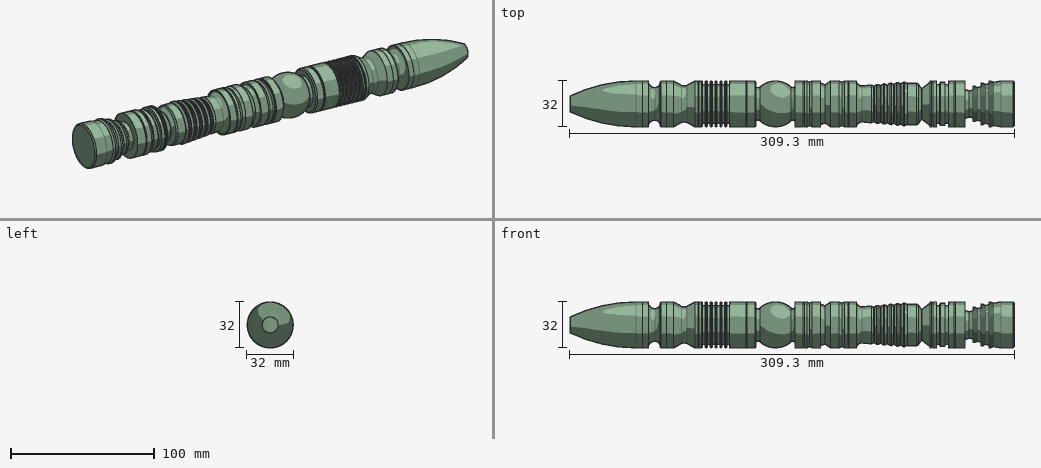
import cadquery as cq
import math


LENGTH = 309.3
RADIUS = 16.0
NECK_RADIUS = 11.5
CHAMFER = 1.0

NOSE_END = 50.5
COLLAR_END = 67.0
GRIP_END = 111.0
SLEEVE_END = 132.5
BALL_END = 153.7
BARREL_END = 193.3
FLARE_END = 234.8
WAIST_END = 250.5
BAND_END = 267.3

EDGE_BREAK_LENGTH = 1.0
EDGE_BREAK_DEPTH = 0.3

HAIRLINE_WIDTH = 1.0
HAIRLINE_DEPTH = 0.5
HAIRLINE_FLOOR = RADIUS - HAIRLINE_DEPTH


def outline(start_x):
    """Begin a half outline on the axis."""
    return cq.Workplane("XZ").moveTo(start_x, 0)


def line_through(half_outline, points):
    """Continue a half outline with straight lines through the points."""
    for x, radius in points:
        half_outline = half_outline.lineTo(x, radius)
    return half_outline


def turn(half_outline, end_x):
    """Bring a half outline back to the axis and revolve it around X."""
    return half_outline.lineTo(end_x, 0).close().revolve(360, (0, 0), (1, 0))


def level_arc_middle(steep_end, level_end):
    """Point halfway along X on the arc that runs parallel to the axis at level_end."""
    span = level_end[0] - steep_end[0]
    rise = steep_end[1] - level_end[1]
    arc_radius = (span**2 + rise**2) / (2 * abs(rise))
    sag = arc_radius - math.sqrt(arc_radius**2 - (span / 2) ** 2)
    return level_end[0] - span / 2, level_end[1] + math.copysign(sag, rise)


def hairline(center_x):
    """Points of one hairline, from left to right."""
    left = center_x - HAIRLINE_WIDTH / 2
    right = center_x + HAIRLINE_WIDTH / 2
    return [(left, RADIUS), (left, HAIRLINE_FLOOR), (right, HAIRLINE_FLOOR), (right, RADIUS)]


def make_nose():
    """Blunt ogive that runs tangent into a short cylinder."""
    tip = (0, 5.5)
    shoulder = (45.8, RADIUS)
    half = outline(0).lineTo(*tip)
    half = half.threePointArc(level_arc_middle(tip, shoulder), shoulder)
    return turn(half.lineTo(NOSE_END, RADIUS), NOSE_END)


def make_collar():
    """Two full-radius rims with a round hollow between them."""
    left_lip = (54.5, 15.2)
    bottom = (59.0, 11.5)
    right_lip = (62.5, 14.0)
    half = line_through(outline(NOSE_END), [(NOSE_END, RADIUS), (left_lip[0], RADIUS), left_lip])
    half = half.threePointArc(level_arc_middle(left_lip, bottom), bottom)
    half = half.threePointArc(level_arc_middle(right_lip, bottom), right_lip)
    half = line_through(half, [
        (right_lip[0], RADIUS - CHAMFER),
        (right_lip[0] + CHAMFER, RADIUS),
        (COLLAR_END, RADIUS),
    ])
    return turn(half, COLLAR_END)


def make_grip():
    """Waist with straight flanks and a round bottom, followed by a row of chamfered ribs."""
    waist_half_width = 7.5
    waist_bottom = (79.5, 12.7)
    waist_arc_half_width = 2.0
    waist_arc_end_radius = 13.0
    hairline_x = 89.5
    groove_count = 6
    groove_pitch = 3.5
    groove_width = 2.0
    groove_floor = 13.5
    rib_chamfer = 0.5
    rib_edge_radius = RADIUS - rib_chamfer

    waist_arc_start = (waist_bottom[0] - waist_arc_half_width, waist_arc_end_radius)
    waist_arc_end = (waist_bottom[0] + waist_arc_half_width, waist_arc_end_radius)
    half = line_through(outline(COLLAR_END), [
        (COLLAR_END, RADIUS),
        (waist_bottom[0] - waist_half_width, RADIUS),
        waist_arc_start,
    ])
    half = half.threePointArc(waist_bottom, waist_arc_end)
    half = line_through(half, [(waist_bottom[0] + waist_half_width, RADIUS), *hairline(hairline_x)])

    for index in range(groove_count):
        right = GRIP_END - (groove_count - 1 - index) * groove_pitch
        left = right - groove_width
        half = line_through(half, [
            (left - rib_chamfer, RADIUS),
            (left, rib_edge_radius),
            (left, groove_floor),
            (right, groove_floor),
        ])
        if right < GRIP_END:
            half = line_through(half, [(right, rib_edge_radius), (right + rib_chamfer, RADIUS)])
    return turn(half, GRIP_END)


def make_sleeve():
    """Plain cylinder with one hairline and a neck towards the ball."""
    hairline_x = 122.8
    shoulder_x = 129.5
    half = line_through(outline(GRIP_END), [
        (GRIP_END, RADIUS),
        *hairline(hairline_x),
        (shoulder_x - CHAMFER, RADIUS),
        (shoulder_x, RADIUS - CHAMFER),
        (shoulder_x, NECK_RADIUS),
        (SLEEVE_END, NECK_RADIUS),
    ])
    return turn(half, SLEEVE_END)


def make_ball():
    """Ball of full radius, cut flat at both ends."""
    half_length = (BALL_END - SLEEVE_END) / 2
    flat_radius = math.sqrt(RADIUS**2 - half_length**2)
    half = outline(SLEEVE_END).lineTo(SLEEVE_END, flat_radius)
    half = half.threePointArc((SLEEVE_END + half_length, RADIUS), (BALL_END, flat_radius))
    return turn(half, BALL_END)


def make_barrel():
    """Necked cylinder with one hairline, and a saddle between two shallow vees."""
    shoulder_x = 156.5
    neck_fillet = 1.2
    hairline_x = 162.7
    vee_depth = 1.0
    vee_floor = RADIUS - vee_depth
    first_vee_x = 166.7
    first_vee_half_width = 2.0
    saddle_start = 174.5
    saddle_step_radius = 14.5
    saddle_bottom = (177.5, 13.3)
    saddle_end = 181.3
    second_vee_start = 187.0
    second_vee_x = 189.3
    second_vee_end = 191.2

    fillet_start = (shoulder_x - neck_fillet, NECK_RADIUS)
    fillet_end = (shoulder_x, NECK_RADIUS + neck_fillet)
    half = line_through(outline(BALL_END), [(BALL_END, NECK_RADIUS), fillet_start])
    half = half.threePointArc(level_arc_middle(fillet_end, fillet_start), fillet_end)
    half = line_through(half, [
        (shoulder_x, RADIUS),
        *hairline(hairline_x),
        (first_vee_x - first_vee_half_width, RADIUS),
        (first_vee_x, vee_floor),
        (first_vee_x + first_vee_half_width, RADIUS),
        (saddle_start, RADIUS),
        (saddle_start, saddle_step_radius),
        saddle_bottom,
        (saddle_end, RADIUS),
        (second_vee_start, RADIUS),
        (second_vee_x, vee_floor),
        (second_vee_end, RADIUS),
        (BARREL_END, RADIUS),
    ])
    return turn(half, BARREL_END)


def make_flare():
    """Full-radius rim, then a widening cone with a row of tapered grooves."""
    rim_end = (199.5, 15.2)
    cone_start = (203.2, 12.7)
    cone_slope = 0.09
    groove_count = 5
    first_groove = 211.5
    groove_pitch = 4.5
    groove_half_width = 2.0
    groove_floor_width = 0.5
    groove_depth = 1.0
    end_slope_length = 2.0
    end_slope_drop = 1.5

    def cone_radius(x):
        return cone_start[1] + cone_slope * (x - cone_start[0])

    half = line_through(outline(BARREL_END), [
        (BARREL_END, RADIUS - EDGE_BREAK_DEPTH),
        (BARREL_END + EDGE_BREAK_LENGTH, RADIUS),
        (rim_end[0], RADIUS),
        rim_end,
    ])
    half = half.threePointArc(level_arc_middle(rim_end, cone_start), cone_start)
    for index in range(groove_count):
        middle = first_groove + index * groove_pitch
        left = middle - groove_half_width
        right = middle + groove_half_width
        floor_radius = cone_radius(middle) - groove_depth
        half = line_through(half, [
            (left, cone_radius(left)),
            (middle - groove_floor_width / 2, floor_radius),
            (middle + groove_floor_width / 2, floor_radius),
            (right, cone_radius(right)),
        ])
    slope_start = FLARE_END - end_slope_length
    half = line_through(half, [
        (slope_start, cone_radius(slope_start)),
        (FLARE_END, cone_radius(FLARE_END) - end_slope_drop),
    ])
    return turn(half, FLARE_END)


def make_waist():
    """Chamfered cylinder tapering to a narrow deep neck, then a cone that widens again."""
    start_radius = 14.5
    chamfer_start = 241.3
    chamfer_end = (242.5, 14.0)
    neck_start = 244.7
    neck_width = 0.3
    neck_radius = 10.8
    cone_end_radius = 15.2
    half = line_through(outline(FLARE_END), [
        (FLARE_END, start_radius),
        (chamfer_start, start_radius),
        chamfer_end,
        (neck_start, neck_radius),
        (neck_start + neck_width, neck_radius),
        (WAIST_END, cone_end_radius),
    ])
    return turn(half, WAIST_END)


def make_band():
    """Two full-radius rims around a lower land, parted by two square grooves."""
    hairline_x = 252.0
    groove_floor = 13.5
    first_groove_start = 255.2
    land_radius = 15.2
    land_start = 257.0
    land_end = 261.0
    second_groove_end = 263.5
    half = line_through(outline(WAIST_END), [
        (WAIST_END, RADIUS),
        *hairline(hairline_x),
        (first_groove_start, RADIUS),
        (first_groove_start, groove_floor),
        (land_start, groove_floor),
        (land_start, land_radius - CHAMFER),
        (land_start + CHAMFER, land_radius),
        (land_end, land_radius),
        (land_end, groove_floor),
        (second_groove_end, groove_floor),
        (second_groove_end, RADIUS),
        (BAND_END, RADIUS),
    ])
    return turn(half, BAND_END)


def make_tail():
    """Cylinder, then a narrow stem that widens in sawtooth steps to the end cap."""
    stem_start = 275.0
    stem_start_radius = 10.2
    valley_and_crest_radii = [(9.3, 12.5), (11.5, 14.5), (13.5, RADIUS)]
    first_valley = 277.8
    tooth_pitch = 5.5
    ramp_length = 2.8
    ramp_rise = 0.5
    crest_length = 1.2
    last_valley_radius = 15.2
    cap_start = 300.0

    half = line_through(outline(BAND_END), [
        (BAND_END, RADIUS - EDGE_BREAK_DEPTH),
        (BAND_END + EDGE_BREAK_LENGTH, RADIUS),
        (stem_start, RADIUS),
        (stem_start, stem_start_radius),
    ])
    valley_x = first_valley
    for valley_radius, crest_radius in valley_and_crest_radii:
        wall_x = valley_x + ramp_length
        half = line_through(half, [
            (valley_x, valley_radius),
            (wall_x, valley_radius + ramp_rise),
            (wall_x, crest_radius),
            (wall_x + crest_length, crest_radius),
        ])
        valley_x += tooth_pitch
    half = line_through(half, [
        (valley_x, last_valley_radius),
        (cap_start, RADIUS),
        (LENGTH - CHAMFER, RADIUS),
        (LENGTH, RADIUS - CHAMFER),
    ])
    return turn(half, LENGTH)


beads = [
    make_nose(),
    make_collar(),
    make_grip(),
    make_sleeve(),
    make_ball(),
    make_barrel(),
    make_flare(),
    make_waist(),
    make_band(),
    make_tail(),
]

result = cq.Compound.makeCompound([bead.val() for bead in beads])